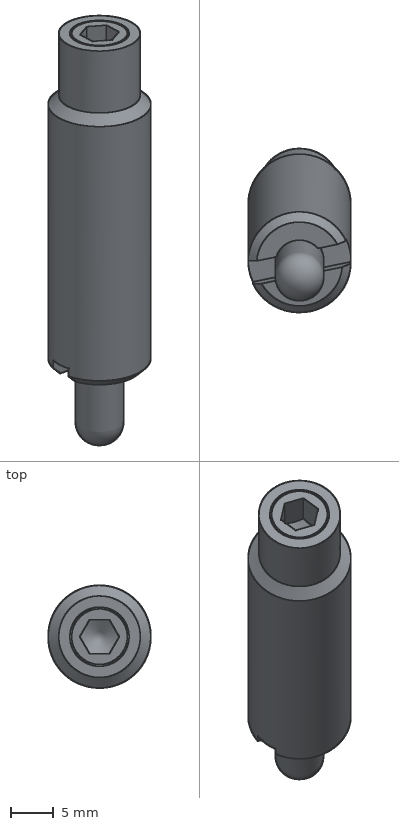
import cadquery as cq
import math

total_height = 53.0
housing_bottom = 9.95
neck_length = 8.0
shoulder_height = 1.15

housing_radius = 6.0
neck_radius = 9.5 / 2
bottom_chamfer = 1.0
slot_width = 2.75
slot_height = 2.0

pin_radius = 5.65 / 2
stem_radius = 3.25
stem_clearance = 0.2
ledge_above_slot = 2.1

hex_across_flats = 4.0
hex_depth = 4.25
drill_tip_angle = 120.0

neck_bottom = total_height - neck_length
ledge_z = housing_bottom + slot_height + ledge_above_slot


def make_housing():
    """Stepped sleeve with a stepped bore and a slot across its lower end."""
    body_top = neck_bottom - shoulder_height
    bore_radius = stem_radius + stem_clearance
    sleeve = (
        cq.Workplane("XZ")
        .moveTo(pin_radius, housing_bottom)
        .lineTo(housing_radius - bottom_chamfer, housing_bottom)
        .lineTo(housing_radius, housing_bottom + bottom_chamfer)
        .lineTo(housing_radius, body_top)
        .lineTo(neck_radius, neck_bottom)
        .lineTo(neck_radius, total_height)
        .lineTo(bore_radius, total_height)
        .lineTo(bore_radius, ledge_z)
        .lineTo(pin_radius, ledge_z)
        .close()
        .revolve(360, (0, 0), (0, 1))
    )
    slot = cq.Workplane("XY", origin=(0, 0, housing_bottom)).box(
        slot_width, 2 * housing_radius, slot_height, centered=(True, True, False)
    )
    return sleeve.cut(slot)


def make_drive_socket():
    """Hexagonal prism, corners along X, ending in a cone as wide as its corners."""
    corner_radius = hex_across_flats / math.sqrt(3)
    cone_height = corner_radius / math.tan(math.radians(drill_tip_angle / 2))
    hexagon = (
        cq.Workplane("XY", origin=(0, 0, total_height))
        .polygon(6, 2 * corner_radius)
        .extrude(-(hex_depth + cone_height))
    )
    drill = (
        cq.Workplane("XZ")
        .moveTo(0, total_height)
        .lineTo(corner_radius, total_height)
        .lineTo(corner_radius, total_height - hex_depth)
        .lineTo(0, total_height - hex_depth - cone_height)
        .close()
        .revolve(360, (0, 0), (0, 1))
    )
    return hexagon.intersect(drill)


def make_pin():
    """Round-nosed pin with a wider upper stem and a hexagonal drive socket."""
    nose_offset = pin_radius * math.sin(math.radians(45))
    pin = (
        cq.Workplane("XZ")
        .moveTo(0, 0)
        .threePointArc((nose_offset, pin_radius - nose_offset), (pin_radius, pin_radius))
        .lineTo(pin_radius, ledge_z)
        .lineTo(stem_radius, ledge_z)
        .lineTo(stem_radius, total_height)
        .lineTo(0, total_height)
        .close()
        .revolve(360, (0, 0), (0, 1))
    )
    return pin.cut(make_drive_socket())


housing = make_housing()
pin = make_pin()

result = cq.Compound.makeCompound([housing.val(), pin.val()])